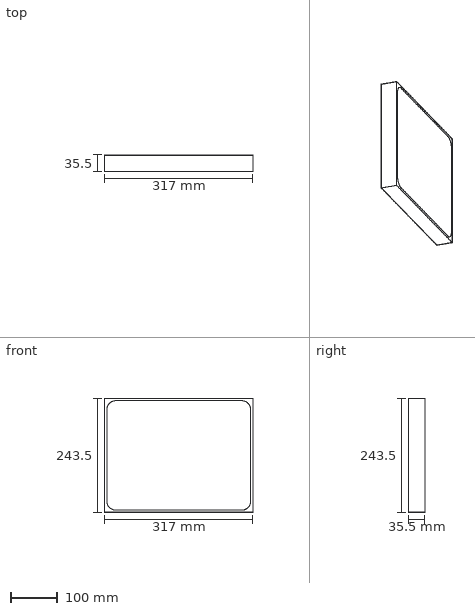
import cadquery as cq

width = 317.0
depth = 35.5
height = 243.5

rim = 5.0
floor_thickness = 5.0
corner_radius = 19.0
floor_fillet = 11.7

recess_depth = depth - floor_thickness


def make_block():
    """Solid block centred on the origin."""
    return cq.Workplane("XY").box(width, depth, height)


def make_recess():
    """Rounded recess volume whose inner end blends into the floor."""
    return (
        cq.Workplane("XZ", origin=(0, -depth / 2, 0))
        .rect(width - 2 * rim, height - 2 * rim)
        .extrude(-recess_depth)
        .edges("|Y")
        .fillet(corner_radius)
        .faces(">Y")
        .edges()
        .fillet(floor_fillet)
    )


result = make_block().cut(make_recess())